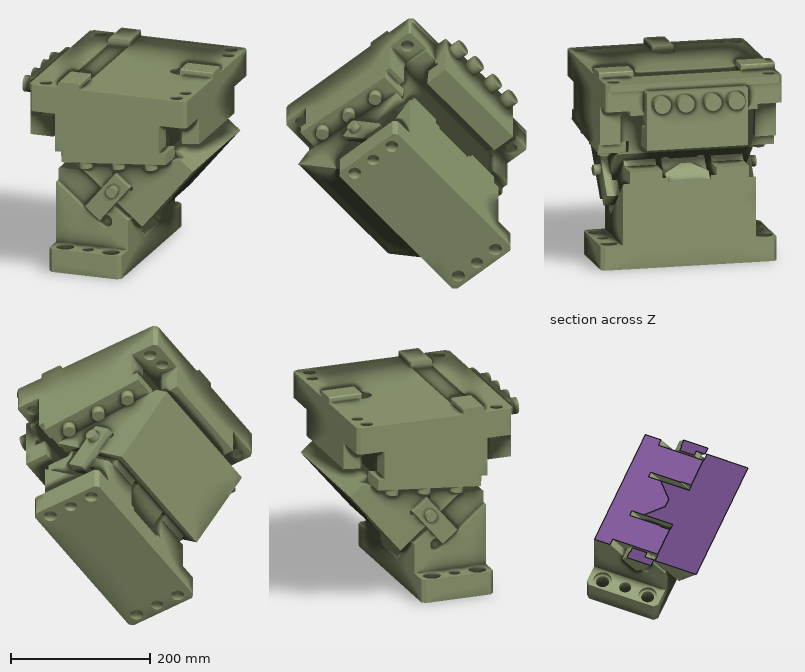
import cadquery as cq
import math


RAMP_ANGLE = 40.0
GUIDE_ANGLE = 5.0
RAMP_COS = math.cos(math.radians(RAMP_ANGLE))
RAMP_SIN = math.sin(math.radians(RAMP_ANGLE))
GUIDE_COS = math.cos(math.radians(GUIDE_ANGLE))
GUIDE_SIN = math.sin(math.radians(GUIDE_ANGLE))
GUIDE_SLOPE = GUIDE_SIN / GUIDE_COS

TOTAL_HEIGHT = 289.0
OVERALL_HALF_WIDTH = 130.0
CORNER_CHAMFER = 5.2
REACH = 346.8

BASE_LENGTH = 110.0
BASE_FOOT_HEIGHT = 35.0
BASE_HALF_WIDTH = 98.0
BASE_TOP = 143.0
FOOT_HOLE_Y = 114.7
FOOT_HOLE_SPACING = 70.0
FOOT_HOLE_DIAMETER = 18.8
FOOT_BORE_DIAMETER = 26.0
FOOT_BORE_DEPTH = 5.0
DOWEL_DIAMETER = 17.3

SLIDE_TIP_X, SLIDE_TIP_Z = 23.7, 164.7
WEAR_THICKNESS = 9.8
WEAR_START, WEAR_END = 20.8, 122.8
WEAR_INNER, WEAR_OUTER = 41.0, 88.0
HOOK_GROOVE_LEVEL = -44.8
GROOVE_END_RADIUS = 9.8
GROOVE_END_U = 97.7
CHANNEL_HALF_WIDTH = 40.0
CHANNEL_LEVEL = -40.2
GUIDE_HALF_WIDTH = 32.0
GUIDE_START = 12.7
ROOF_FLAT_HALF = 7.0
ROOF_RIDGE_LEVEL = -13.3
ROOF_EAVES_LEVEL = -28.0

SLIDE_HALF_WIDTH = 99.7
SLIDE_LENGTH = 142.0
SLIDE_HEIGHT = 120.0
NECK_HALF_WIDTH = 84.0
FLANGE_HALF_WIDTH = 99.5
SLIDE_REAR = 165.5
NECK_REAR_STEP_Z = 187.8
V_PLATE_START = 22.8
V_PLATE_SEAT_DEPTH = 5.8
SEAT_RELIEF_RADIUS = 5.8
SEAT_RELIEF_Y = 26.0
HOOK_START, HOOK_END = 62.0, 91.3
HOOK_HALF_HEIGHT = 35.3
HOOK_OUTER = 109.8
HOOK_INNER = 98.3
HOOK_LIP_INNER = 90.5
HOOK_LIP_TOP = -26.3
HOOK_PAD_INSET = 1.0
STUD_DIAMETER = 16.2
STUD_LEVEL = 15.0
STUD_OUTER = 120.0
RELIEF_RADIUS = 5.0

WEDGE_TOP = 164.0
GIB_BOTTOM = 166.2
GIB_TOP = 182.0
SLIDE_TOP = 224.8
PAD_BOTTOM = 235.2
REAR_STOP_BOTTOM = 181.2

PLATE_FRONT, PLATE_REAR = -30.0, 210.0
PLATE_BOTTOM, PLATE_TOP = 240.2, 280.3
RECESS_DEPTH = 3.0
RECESS_TOP = 270.0
LEG_FRONT, LEG_REAR = 10.0, 168.5
LEG_INNER = 97.0
PAD_HALF_WIDTH = 94.2
GIB_FRONT, GIB_REAR = 19.0, 177.7
GIB_INNER = 89.3
GIB_BOLT_X = (51.2, 101.0, 150.5)
GIB_BOLT_Y = 114.5
GIB_BOLT_DIAMETER = 18.2
GIB_BOLT_HEIGHT = 11.5
MOUNT_HOLE_X = (-9.2, 190.2)
MOUNT_HOLE_Y = 114.7
MOUNT_HOLE_DIAMETER = 18.8
DOWEL_HOLE_X, DOWEL_HOLE_Y = 195.0, 90.0
KEY_WIDTH = 32.0
KEY_SLOT_DEPTH = 4.0
KEY_BEVEL = 1.5
CROSS_KEY_X = 31.0
CROSS_KEY_INNER = 79.5
REAR_KEY_FRONT = 159.8
REAR_SLOT_CENTRE = 155.2
STOP_FRONT = -47.5
STOP_BOTTOM = 185.2
STOP_HALF_WIDTH = 74.5
STOP_NOTCH_X = -32.5
STOP_NOTCH_BOTTOM, STOP_NOTCH_TOP = 215.3, 225.0
STOP_TOE_X = -12.5
STOP_BOLT_Y = (-55.0, -20.0, 20.0, 55.0)
STOP_BOLT_Z = 254.3
STOP_BOLT_DIAMETER = 24.0
STOP_BOLT_HEIGHT = 15.5
REAR_STOP_FRONT = 184.0
REAR_PAD_FRONT = 175.0
REAR_PAD_HALF_WIDTH = 65.0


def ramp(u, n):
    """XZ point at distance u down the ramp and n above the ramp contact plane."""
    x = SLIDE_TIP_X + u * RAMP_COS + n * RAMP_SIN
    z = SLIDE_TIP_Z - u * RAMP_SIN + n * RAMP_COS
    return (x, z)


def ramp_at_x(x, n):
    """XZ point where the plane at level n crosses the given X."""
    return ramp((x - SLIDE_TIP_X - n * RAMP_SIN) / RAMP_COS, n)


def ramp_at_z(z, n):
    """XZ point where the plane at level n crosses the given Z."""
    return ramp((SLIDE_TIP_Z + n * RAMP_COS - z) / RAMP_SIN, n)


def guide(x, level):
    """XZ point at the given X on the 5 degree plane of the given level."""
    return (x, level + x * GUIDE_SLOPE)


def square_to_guide(start, level):
    """XZ point reached from start, going square to the guide, on another guide plane."""
    rise = level + start[0] * GUIDE_SLOPE - start[1]
    z = start[1] + rise * GUIDE_COS ** 2
    return (start[0] - (z - start[1]) * GUIDE_SLOPE, z)


def prism(points, half_width):
    """XZ outline extruded to both sides of the symmetry plane."""
    return cq.Workplane("XZ").polyline(points).close().extrude(half_width, both=True)


def side_pair(points, inner, outer):
    """XZ outline extruded between two distances from the symmetry plane, on both sides."""
    return prism(points, outer).cut(prism(points, inner))


def side_cylinders(centre, radius, inner, outer):
    """Two cylinders along Y, one on each side, between two distances from the symmetry plane."""
    full = cq.Workplane("XZ").center(*centre).circle(radius).extrude(outer, both=True)
    core = cq.Workplane("XZ").center(*centre).circle(radius).extrude(inner, both=True)
    return full.cut(core)


def ramp_block(u_start, u_end, n_low, n_high):
    """Corner points of a rectangle aligned with the ramp."""
    return [ramp(u_start, n_low), ramp(u_end, n_low), ramp(u_end, n_high), ramp(u_start, n_high)]


def box(x_min, x_max, y_min, y_max, z_min, z_max):
    size = (x_max - x_min, y_max - y_min, z_max - z_min)
    return cq.Workplane("XY").box(*size, centered=False).translate((x_min, y_min, z_min))


def ramp_profile(points, u_start, u_end):
    """Outline of (y, n) points extruded along the ramp."""
    x, z = ramp(u_start, 0)
    plane = cq.Plane(origin=(x, 0, z), xDir=(0, 1, 0), normal=(RAMP_COS, 0, -RAMP_SIN))
    return cq.Workplane(plane).polyline(points).close().extrude(u_end - u_start)


ROOF_LINE = [
    (-GUIDE_HALF_WIDTH, ROOF_EAVES_LEVEL),
    (-ROOF_FLAT_HALF, ROOF_RIDGE_LEVEL),
    (ROOF_FLAT_HALF, ROOF_RIDGE_LEVEL),
    (GUIDE_HALF_WIDTH, ROOF_EAVES_LEVEL),
]


def base_foot():
    foot = box(0, BASE_LENGTH, -OVERALL_HALF_WIDTH, OVERALL_HALF_WIDTH, 0, BASE_FOOT_HEIGHT)
    foot = foot.edges("|Z").chamfer(CORNER_CHAMFER)
    middle = BASE_LENGTH / 2
    bolts = [
        (middle + side * FOOT_HOLE_SPACING / 2, y)
        for side in (-1, 1)
        for y in (-FOOT_HOLE_Y, FOOT_HOLE_Y)
    ]
    dowels = [(middle, -FOOT_HOLE_Y), (middle, FOOT_HOLE_Y)]
    top = cq.Workplane("XY", origin=(0, 0, BASE_FOOT_HEIGHT))
    foot = foot.cut(top.pushPoints(bolts).circle(FOOT_HOLE_DIAMETER / 2).extrude(-BASE_FOOT_HEIGHT))
    foot = foot.cut(top.pushPoints(bolts).circle(FOOT_BORE_DIAMETER / 2).extrude(-FOOT_BORE_DEPTH))
    return foot.cut(top.pushPoints(dowels).circle(DOWEL_DIAMETER / 2).extrude(-BASE_FOOT_HEIGHT))


def base_column():
    outline = [
        (0, 0),
        (BASE_LENGTH, 0),
        ramp_at_x(BASE_LENGTH, -WEAR_THICKNESS),
        ramp_at_z(BASE_TOP, -WEAR_THICKNESS),
        (0, BASE_TOP),
    ]
    return prism(outline, BASE_HALF_WIDTH)


def hook_grooves():
    """Open side grooves with a round relief at their lower end."""
    groove = side_pair(ramp_block(-REACH, HOOK_END, HOOK_GROOVE_LEVEL, REACH), WEAR_OUTER, REACH)
    end_centre = ramp(GROOVE_END_U, HOOK_GROOVE_LEVEL + GROOVE_END_RADIUS)
    relief = side_cylinders(end_centre, GROOVE_END_RADIUS, WEAR_OUTER, REACH)
    corner = ramp_block(HOOK_START, GROOVE_END_U, HOOK_GROOVE_LEVEL, HOOK_GROOVE_LEVEL + GROOVE_END_RADIUS)
    return groove.union(relief).union(side_pair(corner, WEAR_OUTER, REACH))


def build_base():
    body = base_foot().union(base_column())
    body = body.cut(hook_grooves())
    body = body.cut(prism(ramp_block(-REACH, REACH, CHANNEL_LEVEL, REACH), CHANNEL_HALF_WIDTH))
    body = body.cut(prism(ramp_block(-REACH, REACH, HOOK_GROOVE_LEVEL, REACH), GUIDE_HALF_WIDTH))
    wear_plate = ramp_block(WEAR_START, WEAR_END, -WEAR_THICKNESS, 0)
    body = body.union(side_pair(wear_plate, WEAR_INNER, WEAR_OUTER))
    v_guide = ROOF_LINE + [
        (GUIDE_HALF_WIDTH, HOOK_GROOVE_LEVEL),
        (-GUIDE_HALF_WIDTH, HOOK_GROOVE_LEVEL),
    ]
    return body.union(ramp_profile(v_guide, GUIDE_START, WEAR_END))


SLIDE_FRONT = square_to_guide(ramp(0, 0), WEDGE_TOP)
SLIDE_TOP_FRONT = square_to_guide(SLIDE_FRONT, SLIDE_TOP)
SLIDE_TOP_REAR = guide(SLIDE_REAR, SLIDE_TOP)


def wedge_and_neck():
    """Wedge between the ramp and the gibs, and the neck that passes up between the gibs."""
    ramp_slope = RAMP_SIN / RAMP_COS
    back_x, back_z = ramp(0, SLIDE_HEIGHT)
    rear_x = (back_z + back_x * ramp_slope - WEDGE_TOP) / (GUIDE_SLOPE + ramp_slope)
    rear = guide(rear_x, WEDGE_TOP)
    outline = [ramp(0, 0), ramp(SLIDE_LENGTH, 0), ramp(SLIDE_LENGTH, SLIDE_HEIGHT), rear, SLIDE_FRONT]
    neck = [
        SLIDE_FRONT,
        rear,
        ramp_at_z(NECK_REAR_STEP_Z, SLIDE_HEIGHT),
        (SLIDE_REAR, NECK_REAR_STEP_Z),
        SLIDE_TOP_REAR,
        SLIDE_TOP_FRONT,
    ]
    return prism(outline, SLIDE_HALF_WIDTH).union(prism(neck, NECK_HALF_WIDTH))


def flange():
    outline = [
        square_to_guide(SLIDE_FRONT, GIB_TOP),
        guide(SLIDE_REAR, GIB_TOP),
        SLIDE_TOP_REAR,
        SLIDE_TOP_FRONT,
    ]
    return prism(outline, FLANGE_HALF_WIDTH)


def seat_reliefs():
    """Round corner reliefs at the upper end of the V plate's seat."""
    x, z = ramp(V_PLATE_START, 0)
    up = cq.Plane(origin=(x, 0, z), xDir=(0, 1, 0), normal=(RAMP_SIN, 0, RAMP_COS))
    centres = [(-SEAT_RELIEF_Y, 0), (SEAT_RELIEF_Y, 0)]
    return cq.Workplane(up).pushPoints(centres).circle(SEAT_RELIEF_RADIUS).extrude(V_PLATE_SEAT_DEPTH)


def v_plate():
    """Plate under the slide that sits on the V guide of the base."""
    outline = ROOF_LINE + [
        (GUIDE_HALF_WIDTH, V_PLATE_SEAT_DEPTH),
        (-GUIDE_HALF_WIDTH, V_PLATE_SEAT_DEPTH),
    ]
    return ramp_profile(outline, V_PLATE_START, WEAR_END)


def hooks():
    """Side hooks that reach into the grooves of the base, each with a pad and a stud."""
    plate = ramp_block(HOOK_START, HOOK_END, -HOOK_HALF_HEIGHT, HOOK_HALF_HEIGHT)
    lip = ramp_block(HOOK_START, HOOK_END, -HOOK_HALF_HEIGHT, HOOK_LIP_TOP)
    pad = ramp_block(HOOK_START + HOOK_PAD_INSET, HOOK_END - HOOK_PAD_INSET, HOOK_LIP_TOP, -WEAR_THICKNESS)
    stud_centre = ramp((HOOK_START + HOOK_END) / 2, STUD_LEVEL)
    body = side_pair(plate, HOOK_INNER, HOOK_OUTER)
    body = body.union(side_pair(lip, HOOK_LIP_INNER, HOOK_OUTER))
    body = body.union(side_pair(pad, HOOK_LIP_INNER, HOOK_OUTER))
    return body.union(side_cylinders(stud_centre, STUD_DIAMETER / 2, HOOK_INNER, STUD_OUTER))


def build_slide():
    body = wedge_and_neck().union(flange()).cut(seat_reliefs()).union(v_plate())
    for u in (HOOK_START, HOOK_END):
        centre = ramp(u, HOOK_HALF_HEIGHT - RELIEF_RADIUS)
        body = body.cut(side_cylinders(centre, RELIEF_RADIUS, HOOK_LIP_INNER, HOOK_OUTER))
    return body.union(hooks())


def top_plate():
    width = OVERALL_HALF_WIDTH
    plate = box(PLATE_FRONT, PLATE_REAR, -width, width, PLATE_BOTTOM, PLATE_TOP)
    plate = plate.edges("|Z").chamfer(CORNER_CHAMFER)
    recess_x = PLATE_FRONT + RECESS_DEPTH
    return plate.cut(box(PLATE_FRONT, recess_x, -width, width, PLATE_BOTTOM, RECESS_TOP))


def key_slots():
    floor = PLATE_TOP - KEY_SLOT_DEPTH
    half = KEY_WIDTH / 2
    cross = box(CROSS_KEY_X - half, CROSS_KEY_X + half, -REACH, REACH, floor, PLATE_TOP)
    rear = box(REAR_SLOT_CENTRE, PLATE_REAR, -half, half, floor, PLATE_TOP)
    round_end = cq.Workplane("XY", origin=(REAR_SLOT_CENTRE, 0, floor)).circle(half).extrude(KEY_SLOT_DEPTH)
    return cross.union(rear).union(round_end)


def keys():
    floor = PLATE_TOP - KEY_SLOT_DEPTH
    half = KEY_WIDTH / 2
    rear = box(REAR_KEY_FRONT, PLATE_REAR, -half, half, floor, TOTAL_HEIGHT)
    body = rear.edges(">Z and |X").chamfer(KEY_BEVEL)
    for y in (-OVERALL_HALF_WIDTH, CROSS_KEY_INNER):
        y_end = y + OVERALL_HALF_WIDTH - CROSS_KEY_INNER
        cross = box(CROSS_KEY_X - half, CROSS_KEY_X + half, y, y_end, floor, TOTAL_HEIGHT)
        body = body.union(cross.edges(">Z and |Y").chamfer(KEY_BEVEL))
    return body


def plate_holes():
    start = cq.Workplane("XY", origin=(0, 0, PLATE_BOTTOM))
    depth = PLATE_TOP - PLATE_BOTTOM
    mounts = [(x, y) for x in MOUNT_HOLE_X for y in (-MOUNT_HOLE_Y, MOUNT_HOLE_Y)]
    dowels = [(DOWEL_HOLE_X, y) for y in (-DOWEL_HOLE_Y, DOWEL_HOLE_Y)]
    holes = start.pushPoints(mounts).circle(MOUNT_HOLE_DIAMETER / 2).extrude(depth)
    return holes.union(start.pushPoints(dowels).circle(DOWEL_DIAMETER / 2).extrude(depth))


def legs():
    """Side walls under the plate, hollowed on the inside to make room for the slide."""
    outline = [
        guide(LEG_FRONT, GIB_TOP),
        guide(LEG_REAR, GIB_TOP),
        (LEG_REAR, PLATE_BOTTOM),
        (LEG_FRONT, PLATE_BOTTOM),
    ]
    body = side_pair(outline, LEG_INNER, OVERALL_HALF_WIDTH)
    slide_room = [
        guide(LEG_FRONT, GIB_TOP),
        guide(LEG_REAR, GIB_TOP),
        guide(LEG_REAR, SLIDE_TOP),
        guide(LEG_FRONT, SLIDE_TOP),
    ]
    return body.cut(prism(slide_room, FLANGE_HALF_WIDTH))


def guide_pads():
    """Sloped pad under the front of the plate, and the wear block above the slide."""
    recess_x = PLATE_FRONT + RECESS_DEPTH
    pad_end = ((PLATE_BOTTOM - PAD_BOTTOM) / GUIDE_SLOPE, PLATE_BOTTOM)
    pad = [guide(recess_x, PAD_BOTTOM), pad_end, (recess_x, PLATE_BOTTOM)]
    block = [
        SLIDE_TOP_FRONT,
        SLIDE_TOP_REAR,
        (SLIDE_REAR, PLATE_BOTTOM),
        (SLIDE_TOP_FRONT[0], PLATE_BOTTOM),
    ]
    return prism(pad, PAD_HALF_WIDTH).union(prism(block, LEG_INNER))


def gibs():
    front = guide(GIB_FRONT, GIB_TOP)
    rear = guide(GIB_REAR, GIB_TOP)
    outline = [front, rear, square_to_guide(rear, GIB_BOTTOM), square_to_guide(front, GIB_BOTTOM)]
    body = side_pair(outline, GIB_INNER, OVERALL_HALF_WIDTH)
    down = cq.Vector(GUIDE_SIN, 0, -GUIDE_COS)
    for x in GIB_BOLT_X:
        for y in (-GIB_BOLT_Y, GIB_BOLT_Y):
            seat_x, seat_z = guide(x, GIB_BOTTOM)
            seat = cq.Vector(seat_x, y, seat_z)
            body = body.union(
                cq.Workplane(cq.Solid.makeCylinder(GIB_BOLT_DIAMETER / 2, GIB_BOLT_HEIGHT, seat, down))
            )
    return body


def front_stop():
    back = PLATE_FRONT + RECESS_DEPTH
    toe_top_x = STOP_TOE_X - (STOP_NOTCH_BOTTOM - STOP_BOTTOM) * GUIDE_SLOPE
    outline = [
        (STOP_FRONT, STOP_BOTTOM),
        (STOP_TOE_X, STOP_BOTTOM),
        (toe_top_x, STOP_NOTCH_BOTTOM),
        (STOP_NOTCH_X, STOP_NOTCH_BOTTOM),
        (STOP_NOTCH_X, STOP_NOTCH_TOP),
        (back, STOP_NOTCH_TOP),
        (back, RECESS_TOP),
        (STOP_FRONT, RECESS_TOP),
    ]
    bolts = (
        cq.Workplane("YZ", origin=(STOP_FRONT, 0, STOP_BOLT_Z))
        .pushPoints([(y, 0) for y in STOP_BOLT_Y])
        .circle(STOP_BOLT_DIAMETER / 2)
        .extrude(-STOP_BOLT_HEIGHT)
    )
    return prism(outline, STOP_HALF_WIDTH).union(bolts)


def rear_stop():
    plate = [
        guide(REAR_STOP_FRONT, REAR_STOP_BOTTOM),
        guide(PLATE_REAR, REAR_STOP_BOTTOM),
        (PLATE_REAR, PLATE_BOTTOM),
        (REAR_STOP_FRONT, PLATE_BOTTOM),
    ]
    pad_top = (REAR_PAD_FRONT, PLATE_BOTTOM)
    pad = [
        pad_top,
        square_to_guide(pad_top, REAR_STOP_BOTTOM),
        guide(REAR_STOP_FRONT, REAR_STOP_BOTTOM),
        (REAR_STOP_FRONT, PLATE_BOTTOM),
    ]
    return prism(plate, STOP_HALF_WIDTH).union(prism(pad, REAR_PAD_HALF_WIDTH))


def build_holder():
    body = top_plate().cut(key_slots()).union(keys())
    body = body.union(guide_pads()).union(legs())
    body = body.union(gibs()).union(front_stop()).union(rear_stop())
    return body.cut(plate_holes())


base = build_base()
slide = build_slide()
holder = build_holder()

result = cq.Compound.makeCompound([base.solids().val(), slide.solids().val(), holder.solids().val()])